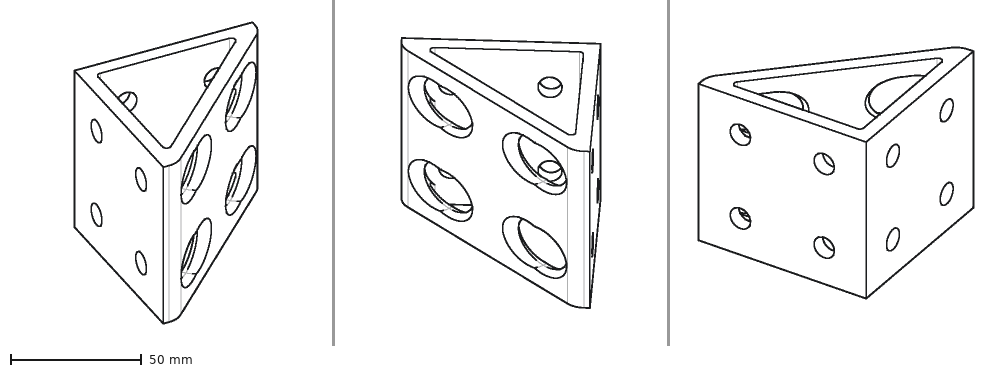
import cadquery as cq
import math

leg = 76.2
height = 71.3
wall = 6.2
end_face = 6.1
diagonal_wall = 6.2
end_radius = 9.15
pocket_radius = 1.75

hole_diameter = 9.15
access_diameter = 19.8
hole_spacing = leg / 2

outer_sum = leg + end_face
inner_sum = outer_sum - diagonal_wall * math.sqrt(2)
pocket_reach = inner_sum - wall


def prism(points):
    return cq.Workplane("XY").polyline(points).close().extrude(height)


def hole_grid(plane, diameter, start):
    """Four cylinders running inward from a depth behind a leg's outer face."""
    inward = -1 if plane == "XZ" else 1
    return (
        cq.Workplane(plane)
        .workplane(offset=inward * start)
        .center(leg / 2, height / 2)
        .rect(hole_spacing, hole_spacing, forConstruction=True)
        .vertices()
        .circle(diameter / 2)
        .extrude(inward * leg)
    )


body = prism([(0, 0), (leg, 0), (leg, end_face), (end_face, leg), (0, leg)])
for corner in [(leg, end_face), (end_face, leg)]:
    body = body.edges(cq.NearestToPointSelector((*corner, height / 2))).fillet(end_radius)

pocket = prism([(wall, wall), (pocket_reach, wall), (wall, pocket_reach)])
result = body.cut(pocket.edges("|Z").fillet(pocket_radius))

for leg_plane in ("XZ", "YZ"):
    result = result.cut(hole_grid(leg_plane, hole_diameter, 0))
    result = result.cut(hole_grid(leg_plane, access_diameter, wall))